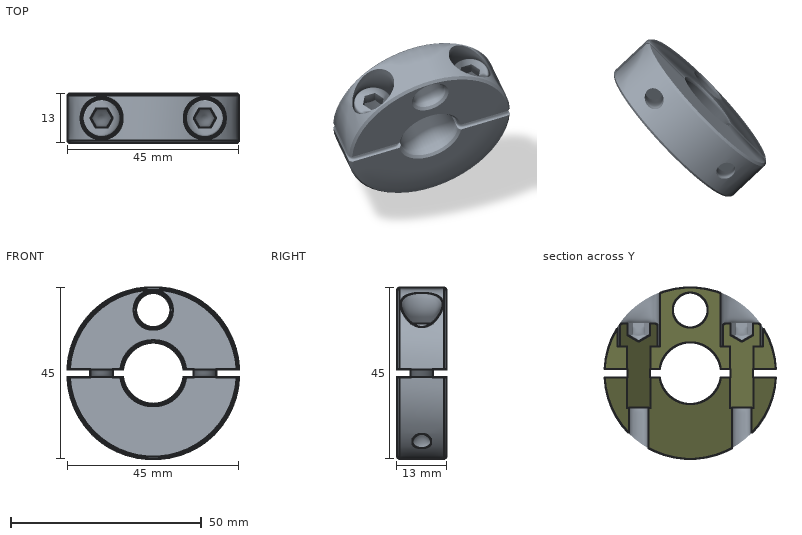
import cadquery as cq
import math


OUTER_DIAMETER = 45.0
WIDTH = 13.0
BORE_DIAMETER = 16.0
GAP = 2.02
EDGE_CHAMFER = 0.65

SIDE_HOLE_DIAMETER = 9.0
SIDE_HOLE_HEIGHT = 16.5

SCREW_OFFSET = 13.5
SHANK_DIAMETER = 6.0
SHANK_LENGTH = 16.0
HEAD_DIAMETER = 10.0
HEAD_HEIGHT = SHANK_DIAMETER
HEAD_FILLET = 0.65
HEX_ACROSS_FLATS = 5.0
HEX_DEPTH = HEAD_HEIGHT / 2
HEX_POINT_ANGLE = 120.0

SEAT_HEIGHT = 7.0
COUNTERBORE_DIAMETER = 11.0
TAP_HOLE_DIAMETER = 4.95

OUTER_RADIUS = OUTER_DIAMETER / 2
SCREW_POSITIONS = [-SCREW_OFFSET, SCREW_OFFSET]
SCREW_TIP_HEIGHT = SEAT_HEIGHT - SHANK_LENGTH


def axial_cylinder(diameter, height=0.0):
    """Cylinder along Y over the ring width, with its axis at the given Z."""
    return (
        cq.Workplane("XZ")
        .center(0, height)
        .circle(diameter / 2)
        .extrude(WIDTH / 2, both=True)
    )


def chamfered_hole(diameter, height=0.0):
    """Cutter for a hole along Y that is chamfered at both ring faces."""
    half_width = WIDTH / 2
    radius = diameter / 2
    mouth_radius = radius + EDGE_CHAMFER
    straight_end = half_width - EDGE_CHAMFER
    profile = [
        (0, -half_width),
        (mouth_radius, -half_width),
        (radius, -straight_end),
        (radius, straight_end),
        (mouth_radius, half_width),
        (0, half_width),
    ]
    cutter = cq.Workplane("XY").polyline(profile).close().revolve(360, (0, 0, 0), (0, 1, 0))
    return cutter.translate((0, 0, height))


def vertical_cylinder(x, diameter, bottom, top):
    """Cylinder along Z between two heights."""
    return cq.Workplane("XY", origin=(x, 0, bottom)).circle(diameter / 2).extrude(top - bottom)


def half_ring(side):
    """Chamfered half ring with its bore; side is +1 for the upper half, -1 for the lower."""
    ring = axial_cylinder(OUTER_DIAMETER).edges().chamfer(EDGE_CHAMFER)
    ring = ring.cut(chamfered_hole(BORE_DIAMETER))
    keep_height = OUTER_RADIUS - GAP / 2
    keep_center = side * (OUTER_RADIUS + GAP / 2) / 2
    keep_box = cq.Workplane("XY").box(OUTER_DIAMETER, WIDTH, keep_height)
    return ring.intersect(keep_box.translate((0, 0, keep_center)))


def make_upper_half():
    """Upper half with the side hole and the counterbored screw holes."""
    body = half_ring(1).cut(chamfered_hole(SIDE_HOLE_DIAMETER, SIDE_HOLE_HEIGHT))
    for x in SCREW_POSITIONS:
        body = body.cut(vertical_cylinder(x, SHANK_DIAMETER, 0, SEAT_HEIGHT))
        body = body.cut(vertical_cylinder(x, COUNTERBORE_DIAMETER, SEAT_HEIGHT, OUTER_RADIUS))
    return body


def make_lower_half():
    """Lower half with holes that fit the shanks and go on as narrower holes to the outside."""
    body = half_ring(-1)
    for x in SCREW_POSITIONS:
        body = body.cut(vertical_cylinder(x, SHANK_DIAMETER, SCREW_TIP_HEIGHT, 0))
        body = body.cut(vertical_cylinder(x, TAP_HOLE_DIAMETER, -OUTER_RADIUS, SCREW_TIP_HEIGHT))
    return body


def hex_socket(x, head_top):
    """Cutter for a hexagonal socket that ends in a conical point."""
    corner_radius = HEX_ACROSS_FLATS / math.sqrt(3)
    point_depth = corner_radius / math.tan(math.radians(HEX_POINT_ANGLE / 2))
    total_depth = HEX_DEPTH + point_depth
    prism = (
        cq.Workplane("XY")
        .polygon(6, 2 * corner_radius)
        .extrude(-total_depth)
    )
    pointed_drill = (
        cq.Workplane("XZ")
        .polyline([(0, 0), (corner_radius, 0), (corner_radius, -HEX_DEPTH), (0, -total_depth)])
        .close()
        .revolve(360, (0, 0, 0), (0, 1, 0))
    )
    return prism.intersect(pointed_drill).translate((x, 0, head_top))


def make_screw(x):
    """Socket head cap screw with its head on the counterbore floor."""
    head_top = SEAT_HEIGHT + HEAD_HEIGHT
    head = vertical_cylinder(x, HEAD_DIAMETER, SEAT_HEIGHT, head_top)
    head = head.faces(">Z").edges().fillet(HEAD_FILLET)
    shank = vertical_cylinder(x, SHANK_DIAMETER, SCREW_TIP_HEIGHT, SEAT_HEIGHT)
    return head.union(shank).cut(hex_socket(x, head_top))


upper_half = make_upper_half()
lower_half = make_lower_half()
screws = [make_screw(x) for x in SCREW_POSITIONS]

result = cq.Compound.makeCompound(
    [upper_half.val(), lower_half.val(), *[screw.val() for screw in screws]]
)